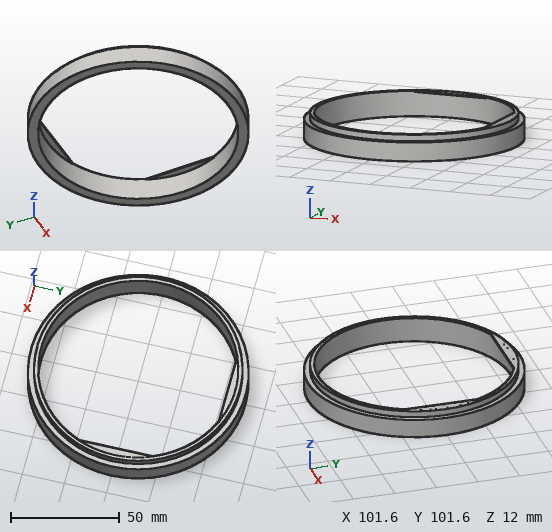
import cadquery as cq

outer_diameter = 101.6
step_diameter = 96.0
bore_diameter = 92.0
total_height = 12.0
step_height = 3.0
base_height = total_height - step_height

flat_distance = 42.6
lip_thickness = 0.5


def disc(diameter, height):
    """Solid disc standing on the XY plane."""
    return cq.Workplane("XY").circle(diameter / 2).extrude(height)


def lip_regions():
    """Two thin blocks filling the top layer beyond the +X and +Y flats."""
    block = cq.Workplane("XY").box(
        outer_diameter, outer_diameter, lip_thickness, centered=(False, True, False)
    ).translate((flat_distance, 0, total_height - lip_thickness))
    return block.union(block.rotate((0, 0, 0), (0, 0, 1), 90))


body = disc(outer_diameter, base_height).union(disc(step_diameter, total_height))
bore = disc(bore_diameter, total_height).cut(lip_regions())
result = body.cut(bore)